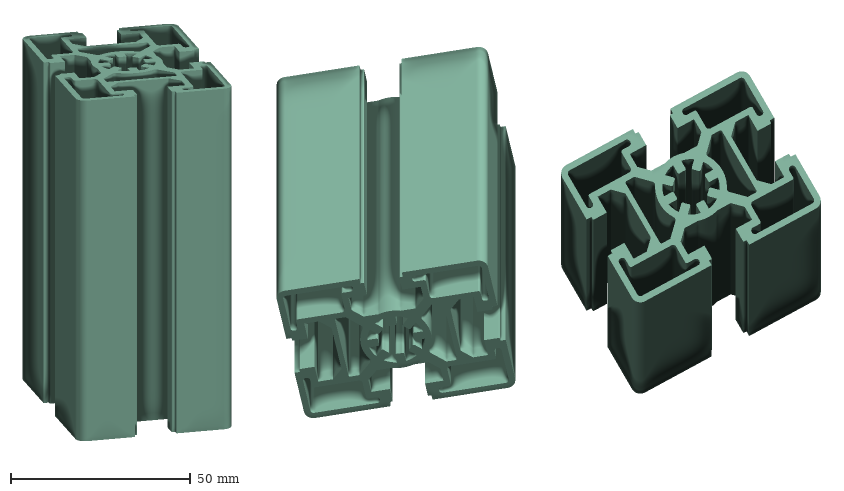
import cadquery as cq
import math

WIDTH = 60.0
DEPTH = 45.0
LENGTH = 100.0
HALF_WIDTH = WIDTH / 2
HALF_DEPTH = DEPTH / 2
OUTER_CORNER_RADIUS = 2.7

SLOT_HALF_MOUTH = 5.0
MOUTH_STEP = 1.0
MOUTH_STEP_DEPTH = 1.5
LIP_EDGE_RADIUS = 0.3
LIP_THICKNESS = 5.9
SLOT_HALF_WIDTH = 10.25
FRONT_FLOOR = 9.5
SIDE_FLOOR = 16.9
SIDE_FLOOR_CHAMFER = 3.0

WALL = 1.8
SIDE_WEB = 1.5
WEB_CORNER_RADIUS = 0.5
HUB_CORNER_RADIUS = 1.0
DIAGONAL_WEB = 3.0
DIAGONAL_OFFSET = DIAGONAL_WEB / math.sqrt(2)

FINGER_WIDTH = 2.0
FINGER_END = 8.4
FINGER_RADIUS = 0.9
CHAMBER_OUTER_RADIUS = 1.0
CHAMBER_INNER_RADIUS = 1.0
CHAMBER_STEP_RADIUS = 0.6

HUB_RADIUS = 10.0
CHANNEL_RADIUS = 8.0
TOOTH_TIP_RADIUS = 5.0
TOOTH_WIDTH = 2.6
TOOTH_EDGE_RADIUS = 0.5
TOOTH_COUNT = 8


def extrude_outline(points):
    return cq.Workplane("XY").polyline(points).close().extrude(LENGTH)


def cylinder(radius):
    return cq.Workplane("XY").circle(radius).extrude(LENGTH)


def round_edge(solid, point, radius):
    """Round the lengthwise edge of a prism that stands on the given XY point."""
    selector = cq.selectors.NearestToPointSelector((*point, LENGTH / 2))
    return solid.edges("|Z").edges(selector).fillet(radius)


def slot(face, floor, floor_chamfer):
    """T-slot open towards +Y; face and floor are distances from the centre."""
    half_step = SLOT_HALF_MOUTH + MOUTH_STEP
    half_outline = [
        (half_step, face),
        (half_step, face - MOUTH_STEP_DEPTH),
        (SLOT_HALF_MOUTH, face - MOUTH_STEP_DEPTH),
        (SLOT_HALF_MOUTH, face - LIP_THICKNESS),
        (SLOT_HALF_WIDTH, face - LIP_THICKNESS),
        (SLOT_HALF_WIDTH, floor + floor_chamfer),
        (SLOT_HALF_WIDTH - floor_chamfer, floor),
    ]
    other_half = [(-x, y) for x, y in reversed(half_outline)]
    opening = extrude_outline(half_outline + other_half)
    for lip_edge_x in (-SLOT_HALF_MOUTH, SLOT_HALF_MOUTH):
        opening = round_edge(opening, (lip_edge_x, face - MOUTH_STEP_DEPTH), LIP_EDGE_RADIUS)
    return opening


def corner_chamber():
    """Hollow of the +X +Y corner, with a narrow finger running into each slot lip."""
    outer_x = HALF_WIDTH - WALL
    outer_y = HALF_DEPTH - WALL
    inner = SLOT_HALF_WIDTH + WALL
    step_x = outer_x - FINGER_WIDTH
    step_y = outer_y - FINGER_WIDTH
    corners = [
        ((outer_x, outer_y), CHAMBER_OUTER_RADIUS),
        ((FINGER_END, outer_y), FINGER_RADIUS),
        ((FINGER_END, step_y), FINGER_RADIUS),
        ((inner, step_y), CHAMBER_STEP_RADIUS),
        ((inner, inner), CHAMBER_INNER_RADIUS),
        ((step_x, inner), CHAMBER_STEP_RADIUS),
        ((step_x, FINGER_END), FINGER_RADIUS),
        ((outer_x, FINGER_END), FINGER_RADIUS),
    ]
    chamber = extrude_outline([point for point, _ in corners])
    for point, radius in corners:
        chamber = round_edge(chamber, point, radius)
    return chamber


def side_chamber():
    """Hollow between the hub and the web behind the +X slot."""
    web_face = SIDE_FLOOR - SIDE_WEB
    diagonal_end = SLOT_HALF_WIDTH + DIAGONAL_OFFSET
    outline = [
        (web_face, SLOT_HALF_WIDTH),
        (diagonal_end, SLOT_HALF_WIDTH),
        (DIAGONAL_OFFSET, 0),
        (diagonal_end, -SLOT_HALF_WIDTH),
        (web_face, -SLOT_HALF_WIDTH),
    ]
    chamber = extrude_outline(outline).cut(cylinder(HUB_RADIUS))
    corner_y = (math.sqrt(2 * HUB_RADIUS**2 - DIAGONAL_OFFSET**2) - DIAGONAL_OFFSET) / 2
    corner_x = corner_y + DIAGONAL_OFFSET
    for side in (-1, 1):
        chamber = round_edge(chamber, (corner_x, side * corner_y), HUB_CORNER_RADIUS)
        chamber = round_edge(chamber, (web_face, side * SLOT_HALF_WIDTH), WEB_CORNER_RADIUS)
    return chamber


def tooth():
    """One tooth of the screw channel, pointing at the centre from +X."""
    root = (CHANNEL_RADIUS + HUB_RADIUS) / 2
    bar = cq.Workplane("XY").box(root, TOOTH_WIDTH, LENGTH, centered=(False, True, False))
    bar = bar.cut(cylinder(TOOTH_TIP_RADIUS))
    tip_corner_x = math.sqrt(TOOTH_TIP_RADIUS**2 - (TOOTH_WIDTH / 2) ** 2)
    for tip_corner_y in (-TOOTH_WIDTH / 2, TOOTH_WIDTH / 2):
        bar = round_edge(bar, (tip_corner_x, tip_corner_y), TOOTH_EDGE_RADIUS)
    return bar


def profile_body():
    """Rounded bar with its slots, chambers and toothed screw channel."""
    body = cq.Workplane("XY").rect(WIDTH, DEPTH).extrude(LENGTH)
    body = body.edges("|Z").fillet(OUTER_CORNER_RADIUS)

    front_chamfer = SLOT_HALF_WIDTH + DIAGONAL_OFFSET - FRONT_FLOOR
    front_slot = slot(HALF_DEPTH, FRONT_FLOOR, front_chamfer).cut(cylinder(HUB_RADIUS))
    side_slot = slot(HALF_WIDTH, SIDE_FLOOR, SIDE_FLOOR_CHAMFER).rotate((0, 0, 0), (0, 0, 1), -90)
    for angle in (0, 180):
        for hollow in (front_slot, side_slot, side_chamber()):
            body = body.cut(hollow.rotate((0, 0, 0), (0, 0, 1), angle))

    right_chamber = corner_chamber()
    left_chamber = right_chamber.mirror("YZ")
    for hollow in (right_chamber, left_chamber):
        body = body.cut(hollow).cut(hollow.mirror("XZ"))

    body = body.cut(cylinder(CHANNEL_RADIUS))
    channel_tooth = tooth()
    for index in range(TOOTH_COUNT):
        angle = index * 360 / TOOTH_COUNT
        body = body.union(channel_tooth.rotate((0, 0, 0), (0, 0, 1), angle))
    return body


result = profile_body()